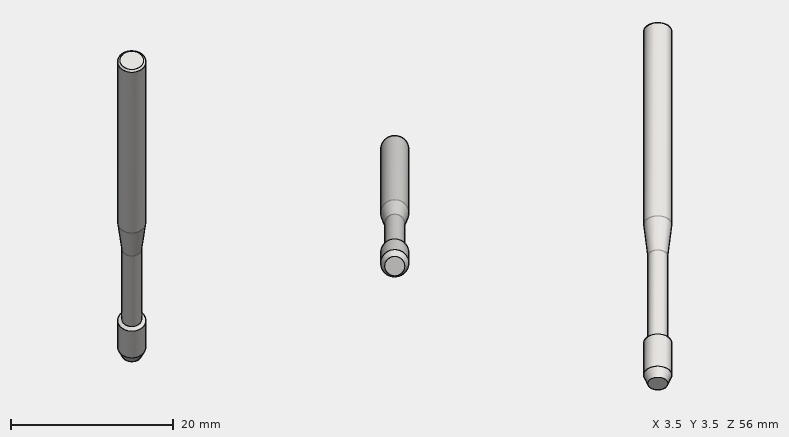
import cadquery as cq

total_length = 56.0
shank_radius = 1.75
neck_radius = 1.25

head_radius = shank_radius
tip_radius = 1.25
tip_taper_height = 1.35
head_shoulder_z = 6.45
head_shoulder_height = 0.3
head_top_z = head_shoulder_z + head_shoulder_height

neck_top_z = 20.15
taper_height = 5.0
taper_top_z = neck_top_z + taper_height
end_chamfer_width = 0.3
end_chamfer_height = 0.2


def revolve_profile(profile):
    """Turn a closed (radius, height) half profile around the Z axis."""
    return cq.Workplane("XZ").polyline(profile).close().revolve(360, (0, 0), (0, 1))


def make_head():
    """Cylindrical head with a tapered tip and a sloping shoulder."""
    return revolve_profile([
        (0, 0),
        (tip_radius, 0),
        (head_radius, tip_taper_height),
        (head_radius, head_shoulder_z),
        (neck_radius, head_top_z),
        (0, head_top_z),
    ])


def make_shank():
    """Slim neck that widens through a taper into the chamfered shank."""
    return revolve_profile([
        (0, head_top_z),
        (neck_radius, head_top_z),
        (neck_radius, neck_top_z),
        (shank_radius, taper_top_z),
        (shank_radius, total_length - end_chamfer_height),
        (shank_radius - end_chamfer_width, total_length),
        (0, total_length),
    ])


head = make_head()
shank = make_shank()

result = cq.Compound.makeCompound([head.val(), shank.val()])